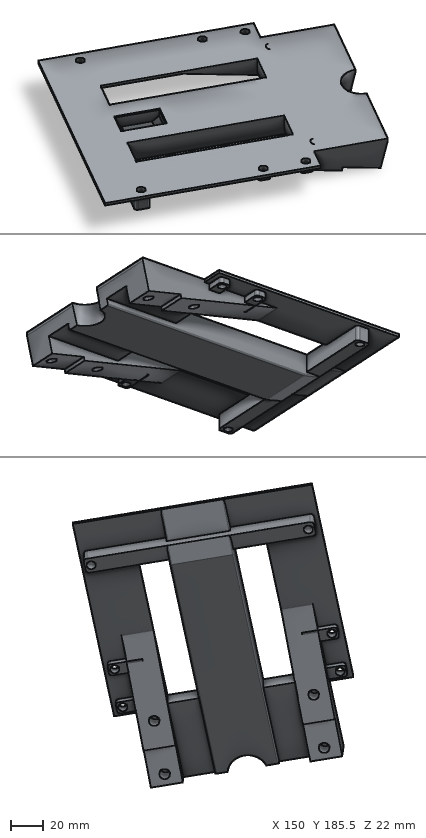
import cadquery as cq
import math

plate_width = 150.0
plate_length = 185.5
plate_thickness = 2.0
shoulder_y = 138.2
tab_width = 120.0
total_height = 22.0

tilt = math.radians(13)
slope = math.tan(tilt)

leg_start_y = 82.7
leg_width = 20.0
leg_step_y = 156.5

box_width = 40.0
box_bottom_z = -15.0
box_edge_radius = 1.0
web_bottom_z = -10.8

slot_start_y = 30.0
slot_end_y = 130.4
slot_width = tab_width / 2 - leg_width - box_width / 2

screw_diameter = 5.5
screw_x = 68.0
bar_y = 25.0
boss_ys = (103.3, 130.5)
bar_depth = 10.0
bar_bottom_z = -12.2
boss_depth = 8.0
boss_bottom_z = -6.1
corner_radius = 2.0

leg_hole_diameter = 6.5
leg_hole_y = 138.8
leg_hole_spacing = 36.0
leg_hole_length = 14.5

notch_radius = 12.5

pocket_width = 14.3
pocket_start_y = 30.0
pocket_end_y = 58.0
pocket_wall_height = 5.0
pocket_depth = 8.5
pocket_front_ramp = 4.0
pocket_back_ramp = 4.5
pocket_chamfer = 0.65

plate_bottom_z = -plate_thickness
tip_y = plate_length - (total_height - plate_thickness) * slope
bar_front_y = bar_y - bar_depth / 2
boss_end_x = screw_x + boss_depth / 2
leg_center_x = (tab_width - leg_width) / 2


def back_face_y(z):
    """Y of the tilted back face at a height below the plate."""
    return plate_length + (z - plate_bottom_z) * slope


def leg_bottom_z(y):
    """Height of the leg underside in front of the step."""
    return plate_bottom_z - (y - leg_start_y) * slope


def pad_bottom_z(y):
    """Height of the leg underside behind the step."""
    return -total_height + (tip_y - y) * slope


def side_profile(points, width, center_x=0.0):
    """Extrude an outline of (Y, Z) points along X, centered on center_x."""
    start = center_x - width / 2
    return cq.Workplane("YZ").workplane(offset=start).polyline(points).close().extrude(width)


def block(x_range, y_range, z_range):
    """Box between two limits on each axis."""
    (x0, x1), (y0, y1), (z0, z1) = x_range, y_range, z_range
    return cq.Workplane("XY").box(x1 - x0, y1 - y0, z1 - z0, centered=False).translate((x0, y0, z0))


def make_plate():
    plate_x = plate_width / 2
    tab_x = tab_width / 2
    body = block((-plate_x, plate_x), (0, shoulder_y), (plate_bottom_z, 0))
    tab = block((-tab_x, tab_x), (0, plate_length), (plate_bottom_z, 0))
    return body.union(tab)


def make_leg(side):
    step_height = pad_bottom_z(leg_step_y) - leg_bottom_z(leg_step_y)
    step_base_y = leg_step_y - step_height * math.sin(tilt) * math.cos(tilt)
    points = [
        (leg_start_y, plate_bottom_z),
        (step_base_y, leg_bottom_z(step_base_y)),
        (leg_step_y, pad_bottom_z(leg_step_y)),
        (tip_y, -total_height),
        (plate_length, plate_bottom_z),
    ]
    return side_profile(points, leg_width, side * leg_center_x)


def is_underside_edge(edge):
    """True for the lengthwise edges along the underside of the central box."""
    bounds = edge.BoundingBox()
    return bounds.ylen > bounds.zlen and bounds.zmin < plate_bottom_z - box_edge_radius


def make_center_box():
    points = [
        (0, plate_bottom_z),
        (bar_front_y, plate_bottom_z - bar_front_y * slope),
        (bar_front_y, bar_bottom_z),
        (bar_front_y + (bar_bottom_z - box_bottom_z) / slope, box_bottom_z),
        (back_face_y(box_bottom_z), box_bottom_z),
        (plate_length, plate_bottom_z),
    ]
    box = side_profile(points, box_width)
    side_edges = box.faces("<X or >X").edges()
    underside_edges = side_edges.filter(is_underside_edge)
    return underside_edges.fillet(box_edge_radius)


def make_web():
    points = [
        (slot_end_y, plate_bottom_z),
        (slot_end_y, web_bottom_z),
        (back_face_y(web_bottom_z), web_bottom_z),
        (plate_length, plate_bottom_z),
    ]
    return side_profile(points, tab_width - 2 * leg_width)


def make_bar():
    bar = block(
        (-boss_end_x, boss_end_x),
        (bar_front_y, bar_front_y + bar_depth),
        (bar_bottom_z, plate_bottom_z),
    )
    return bar.edges("|Z").fillet(corner_radius)


def make_boss(side, y):
    boss = block(
        (leg_center_x, boss_end_x),
        (y - boss_depth / 2, y + boss_depth / 2),
        (boss_bottom_z, plate_bottom_z),
    )
    boss = boss.edges("|Z and >X").fillet(corner_radius)
    return boss if side > 0 else boss.mirror("YZ")


def make_slot(side):
    inner_x = box_width / 2
    slot = block((inner_x, inner_x + slot_width), (slot_start_y, slot_end_y), (-total_height, 0))
    return slot if side > 0 else slot.mirror("YZ")


def make_screw_holes():
    places = [(side * screw_x, y) for side in (-1, 1) for y in (bar_y, *boss_ys)]
    return cq.Workplane("XY").pushPoints(places).circle(screw_diameter / 2).extrude(-total_height)


def make_leg_hole(side, y, z):
    axis = cq.Vector(0, math.sin(tilt), math.cos(tilt))
    mouth = cq.Vector(side * leg_center_x, y, z)
    return cq.Solid.makeCylinder(leg_hole_diameter / 2, leg_hole_length, mouth, axis)


def make_notch():
    return cq.Workplane("XY").center(0, plate_length).circle(notch_radius).extrude(-total_height)


def make_pocket():
    points = [
        (pocket_start_y, 0),
        (pocket_start_y, -pocket_wall_height),
        (pocket_start_y + pocket_front_ramp, -pocket_depth),
        (pocket_end_y - pocket_back_ramp, -pocket_depth),
        (pocket_end_y, -pocket_wall_height),
        (pocket_end_y, 0),
    ]
    pocket = side_profile(points, pocket_width)
    length = pocket_end_y - pocket_start_y
    rim = (
        cq.Workplane("XY")
        .center(0, (pocket_start_y + pocket_end_y) / 2)
        .rect(pocket_width + 2 * pocket_chamfer, length + 2 * pocket_chamfer)
        .extrude(-pocket_chamfer, taper=45)
    )
    return pocket.union(rim)


result = make_plate().union(make_web()).union(make_center_box()).union(make_bar())
for side in (-1, 1):
    result = result.union(make_leg(side))
    for boss_y in boss_ys:
        result = result.union(make_boss(side, boss_y))

result = result.cut(make_notch()).cut(make_pocket()).cut(make_screw_holes())
pad_hole_y = leg_hole_y + leg_hole_spacing * math.cos(tilt)
for side in (-1, 1):
    result = result.cut(make_slot(side))
    result = result.cut(make_leg_hole(side, leg_hole_y, leg_bottom_z(leg_hole_y)))
    result = result.cut(make_leg_hole(side, pad_hole_y, pad_bottom_z(pad_hole_y)))